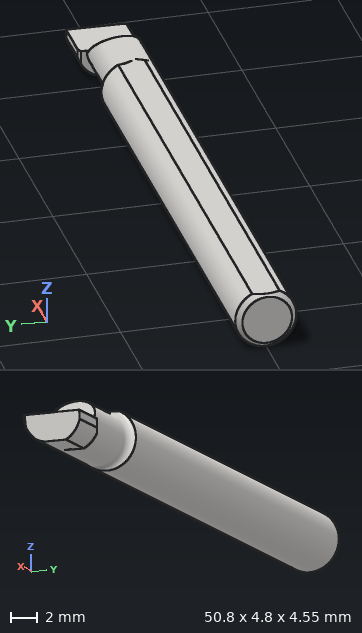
import cadquery as cq
import math

LENGTH = 50.8
SHANK_RADIUS = 2.4
FLAT_HEIGHT = 2.15
END_CHAMFER_LENGTH = 0.4
END_CHAMFER_DEPTH = 0.45

NECK_RADIUS = 2.15
NECK_CENTER_Y = -0.45
SHOULDER_X = 40.0
SHOULDER_FILLET = 0.6

RAMP_FOOT_X = 46.7
CUTTING_FACE_Z = 0.0

HEAD_BACK_X = 47.0
HEAD_SIDE_Y = 2.3
BACK_CORNER_LENGTH = 0.35
BACK_CORNER_DEPTH = 0.15
NOSE_CORNER = 0.15
NOSE_ANGLE = 45.0
CLEARANCE_ANGLE = 8.0
EDGE_LEAD = 0.15

MARGIN = 1.0


def shank_stock():
    """Full-length cylinder with a conical rear edge and a flat along its top."""
    profile = [
        (0, 0),
        (0, SHANK_RADIUS - END_CHAMFER_DEPTH),
        (END_CHAMFER_LENGTH, SHANK_RADIUS),
        (LENGTH, SHANK_RADIUS),
        (LENGTH, 0),
    ]
    body = cq.Workplane("XY").polyline(profile).close().revolve(360, (0, 0, 0), (1, 0, 0))
    above_flat = (
        cq.Workplane("XY", origin=(0, 0, FLAT_HEIGHT))
        .rect(2 * LENGTH, 4 * SHANK_RADIUS)
        .extrude(MARGIN)
    )
    return body.cut(above_flat)


def neck_cutter():
    """Ring around the neck axis, with a fillet where the neck meets the shoulder."""
    outer_y = NECK_CENTER_Y + 2 * SHANK_RADIUS
    neck_y = NECK_CENTER_Y + NECK_RADIUS
    fillet_end_x = SHOULDER_X + SHOULDER_FILLET
    fillet_center_y = neck_y + SHOULDER_FILLET
    fillet_reach = SHOULDER_FILLET * math.sqrt(0.5)
    fillet_middle = (fillet_end_x - fillet_reach, fillet_center_y - fillet_reach)
    return (
        cq.Workplane("XY")
        .moveTo(SHOULDER_X, outer_y)
        .lineTo(SHOULDER_X, fillet_center_y)
        .threePointArc(fillet_middle, (fillet_end_x, neck_y))
        .lineTo(LENGTH + MARGIN, neck_y)
        .lineTo(LENGTH + MARGIN, outer_y)
        .close()
        .revolve(360, (0, NECK_CENTER_Y, 0), (1, NECK_CENTER_Y, 0))
    )


def head_tooth():
    """Tooth reaching past the neck on +Y, kept within the shank cylinder."""
    outline = [
        (HEAD_BACK_X, NECK_CENTER_Y),
        (HEAD_BACK_X, HEAD_SIDE_Y - BACK_CORNER_DEPTH),
        (HEAD_BACK_X + BACK_CORNER_LENGTH, HEAD_SIDE_Y),
        (LENGTH, HEAD_SIDE_Y),
        (LENGTH, NECK_CENTER_Y),
    ]
    return (
        cq.Workplane("XY", origin=(0, 0, -NECK_RADIUS))
        .polyline(outline)
        .close()
        .extrude(CUTTING_FACE_Z + NECK_RADIUS)
        .intersect(shank_stock())
    )


def ramp_cutter():
    """Space above the cutting face and its 45 degree ramp."""
    top_z = SHANK_RADIUS + MARGIN
    outline = [
        (RAMP_FOOT_X, CUTTING_FACE_Z),
        (RAMP_FOOT_X - (top_z - CUTTING_FACE_Z), top_z),
        (LENGTH + MARGIN, top_z),
        (LENGTH + MARGIN, CUTTING_FACE_Z),
    ]
    return cq.Workplane("XZ").polyline(outline).close().extrude(2 * SHANK_RADIUS, both=True)


def clearance_cutter(edge_x, edge_y, turn):
    """Block whose face leans inward below the cutting face, turned about Z to face its edge."""
    size = 4 * SHANK_RADIUS
    return (
        cq.Workplane("XY")
        .box(size, size, size, centered=(False, True, True))
        .rotate((0, 0, 0), (0, 1, 0), CLEARANCE_ANGLE)
        .rotate((0, 0, 0), (0, 0, 1), turn)
        .translate((edge_x, edge_y, CUTTING_FACE_Z))
    )


lead_angle = math.degrees(math.atan2(EDGE_LEAD, HEAD_SIDE_Y + SHANK_RADIUS))
nose_x = LENGTH - EDGE_LEAD - NOSE_CORNER

bar = shank_stock().cut(neck_cutter()).union(head_tooth()).cut(ramp_cutter())
bar = bar.cut(clearance_cutter(LENGTH, HEAD_SIDE_Y, -lead_angle))
result = bar.cut(clearance_cutter(nose_x, -SHANK_RADIUS, -NOSE_ANGLE))